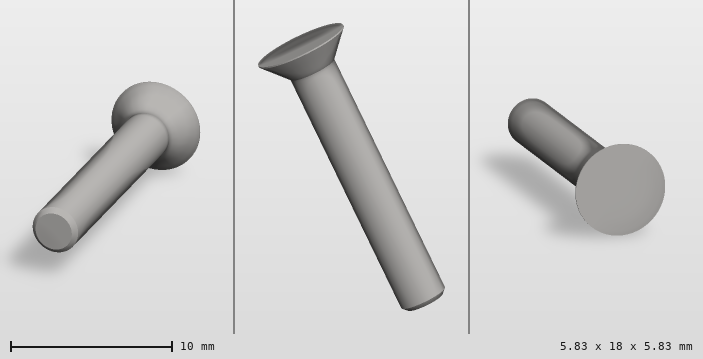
import cadquery as cq

total_length = 18.0
head_diameter = 5.83
shank_diameter = 3.0
head_height = 1.7
rim_thickness = 0.09
tip_chamfer = 0.3

head_radius = head_diameter / 2
shank_radius = shank_diameter / 2

half_section = [
    (0, 0),
    (head_radius, 0),
    (head_radius, -rim_thickness),
    (shank_radius, -head_height),
    (shank_radius, -total_length + tip_chamfer),
    (shank_radius - tip_chamfer, -total_length),
    (0, -total_length),
]

result = (
    cq.Workplane("XY")
    .polyline(half_section)
    .close()
    .revolve(360, (0, 0, 0), (0, 1, 0))
)